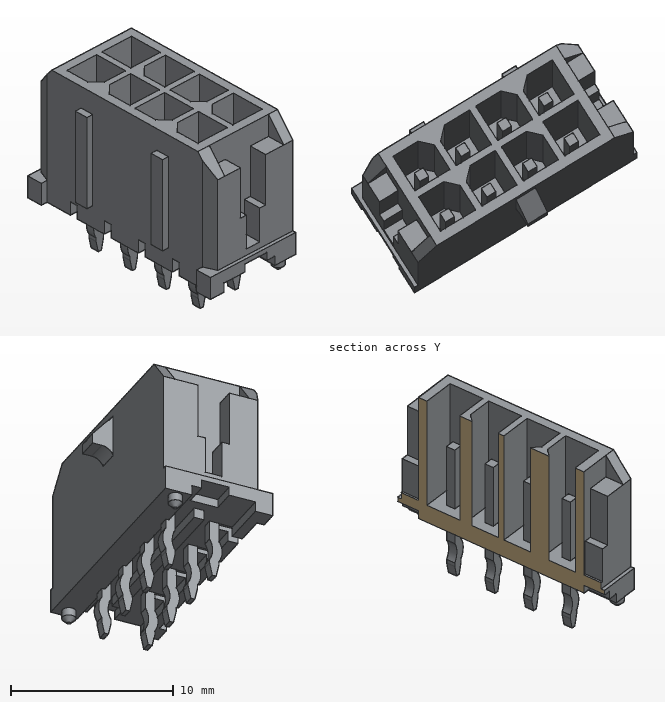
import cadquery as cq
import math


length = 16.15
body_length = 15.63
body_depth = 6.86
body_height = 9.9
top_length = 12.92
slope_base = 8.27
front_length = 13.73
bevel_depth = 0.39
flange_height = 1.62
front_overhang = 0.5

columns = 4
pitch = 3.0

cavity_side = 2.55
cavity_chamfer = 0.73
cavity_floor = 2.0

key_top_back = 2.65
key_top_front = -2.44
key_wide = 2.16
key_wide_floor = 4.57
key_narrow = 1.15
key_narrow_floor = 2.08

channel_back = 1.62
channel_front = -2.75
channel_height = 0.68
arch_width = 1.89
arch_height = 1.26
keel_width = 0.68
keel_length = 11.56
slot_width = 0.6
slot_height = 0.99

rib_width = 1.02
rib_spacing = 6.69
rib_top = 8.32

latch_width = 1.42
latch_reach = 1.4
latch_top = 9.33
latch_nose_top = 7.7
latch_nose_bottom = 7.01
latch_radius = 0.84
latch_root = 6.48

pin_side = 0.65
pin_top = 6.46
pin_bottom = -3.2
bend_top = -0.63
bend_bottom = -2.1
bend_reach = 0.21
taper_start = -2.35
tip_width = 0.27

peg_x = 7.5
peg_y = 2.47
peg_diameter = 0.89
peg_tip_diameter = 0.25
peg_shoulder = -0.53
peg_bottom = -0.85

back = body_depth / 2
front = -back
foot_front = front - front_overhang
column_xs = [(i - (columns - 1) / 2) * pitch for i in range(columns)]
back_row_y = pitch / 2
front_row_y = -pitch / 2
row_ys = [back_row_y, front_row_y]


def block(x_min, x_max, y_min, y_max, z_min, z_max):
    size = (x_max - x_min, y_max - y_min, z_max - z_min)
    return cq.Workplane("XY").box(*size, centered=False).translate((x_min, y_min, z_min))


def make_shell():
    """Bevelled plan outline, trimmed by the end slopes."""
    plan = [
        (body_length / 2, back),
        (body_length / 2, front + bevel_depth),
        (front_length / 2, front),
        (-front_length / 2, front),
        (-body_length / 2, front + bevel_depth),
        (-body_length / 2, back),
    ]
    elevation = [
        (-body_length / 2, 0),
        (body_length / 2, 0),
        (body_length / 2, slope_base),
        (top_length / 2, body_height),
        (-top_length / 2, body_height),
        (-body_length / 2, slope_base),
    ]
    prism = cq.Workplane("XY").polyline(plan).close().extrude(body_height)
    trim = cq.Workplane("XZ").polyline(elevation).close().extrude(body_depth / 2, both=True)
    return prism.intersect(trim)


def end_block(side, inner_x, y_min, y_max, z_min, z_max):
    """Block from inner_x to the outer end of the flange; side is -1 or 1."""
    x_min, x_max = sorted((side * inner_x, side * length / 2))
    return block(x_min, x_max, y_min, y_max, z_min, z_max)


def make_end_flange(side):
    return end_block(side, front_length / 2, foot_front, back, 0, flange_height)


def make_key_slot(side):
    """Stepped slot, wide at the top and narrowing towards its floor."""
    inner = top_length / 2
    mouth = end_block(side, inner, key_top_front, key_top_back, slope_base, body_height)
    wide = end_block(side, inner, -key_wide / 2, key_wide / 2, key_wide_floor, slope_base)
    narrow = end_block(side, inner, -key_narrow / 2, key_narrow / 2, key_narrow_floor, key_wide_floor)
    return mouth.union(wide).union(narrow)


def make_cavity(x, y, chamfer_side):
    """Square cavity; chamfer_side is -1 or 1 for a cut front corner, 0 for none."""
    half = cavity_side / 2
    height = body_height - cavity_floor
    cavity = block(x - half, x + half, y - half, y + half, cavity_floor, body_height)
    if chamfer_side == 0:
        return cavity
    corner_x = x + chamfer_side * half
    corner_y = y - half
    corner = (
        cq.Workplane("XY")
        .workplane(offset=cavity_floor)
        .moveTo(corner_x, corner_y)
        .lineTo(corner_x - chamfer_side * cavity_chamfer, corner_y)
        .lineTo(corner_x, corner_y + cavity_chamfer)
        .close()
        .extrude(height)
    )
    return cavity.cut(corner)


def make_latch():
    """Ramp on the back wall with a hollow curve under its nose."""
    nose = back + latch_reach
    drop = latch_nose_bottom - latch_root
    curve_start = back + math.sqrt(latch_radius**2 - (latch_radius - drop) ** 2)
    profile = (
        cq.Workplane("YZ")
        .moveTo(back, latch_root)
        .lineTo(back, latch_top)
        .lineTo(nose, latch_nose_top)
        .lineTo(nose, latch_nose_bottom)
        .lineTo(curve_start, latch_nose_bottom)
        .tangentArcPoint((back, latch_root), relative=False)
        .close()
    )
    return profile.extrude(latch_width / 2, both=True)


def make_contact(x, y):
    """Square contact with a bowed leg that bulges away from the mid-plane."""
    outward = 1 if y > 0 else -1
    outer = y + outward * pin_side / 2
    inner = y - outward * pin_side / 2
    bow = outward * bend_reach
    bend_middle = (bend_top + bend_bottom) / 2
    tip = outward * tip_width / 2
    profile = (
        cq.Workplane("YZ")
        .moveTo(inner, pin_top)
        .lineTo(outer, pin_top)
        .lineTo(outer, bend_top)
        .threePointArc((outer + bow, bend_middle), (outer, bend_bottom))
        .lineTo(outer, taper_start)
        .lineTo(y + tip, pin_bottom)
        .lineTo(y - tip, pin_bottom)
        .lineTo(inner, taper_start)
        .lineTo(inner, bend_bottom)
        .threePointArc((inner + bow, bend_middle), (inner, bend_top))
        .close()
    )
    return profile.extrude(pin_side / 2, both=True).translate((x, 0, 0))


def make_peg(x):
    """Round peg with a conical tip, turned about its own axis."""
    profile = (
        cq.Workplane("XZ")
        .moveTo(0, 0)
        .lineTo(peg_diameter / 2, 0)
        .lineTo(peg_diameter / 2, peg_shoulder)
        .lineTo(peg_tip_diameter / 2, peg_bottom)
        .lineTo(0, peg_bottom)
        .close()
    )
    return profile.revolve(360, (0, 0, 0), (0, 1, 0)).translate((x, peg_y, 0))


housing = make_shell()
for end in (-1, 1):
    housing = housing.union(make_end_flange(end))
    housing = housing.cut(make_key_slot(end))

for row_y in row_ys:
    for column, column_x in enumerate(column_xs):
        keyed_corner = 1 if column % 2 == 0 else -1
        if column == 0 and row_y == back_row_y:
            keyed_corner = 0
        housing = housing.cut(make_cavity(column_x, row_y, keyed_corner))

housing = housing.cut(
    block(-length / 2, length / 2, channel_front, channel_back, 0, channel_height)
)
for end in (-1, 1):
    housing = housing.cut(
        end_block(end, top_length / 2, -arch_width / 2, arch_width / 2, 0, arch_height)
    )
housing = housing.union(
    block(-keel_length / 2, keel_length / 2, -keel_width / 2, keel_width / 2, 0, channel_height)
)

for column_x in column_xs:
    housing = housing.cut(
        block(
            column_x - slot_width / 2,
            column_x + slot_width / 2,
            front,
            front_row_y,
            0,
            slot_height,
        )
    )

for rib_x in (-rib_spacing / 2, rib_spacing / 2):
    housing = housing.union(
        block(
            rib_x - rib_width / 2,
            rib_x + rib_width / 2,
            foot_front,
            front,
            flange_height,
            rib_top,
        )
    )

result = housing.union(make_latch())
for row_y in row_ys:
    for column_x in column_xs:
        result = result.union(make_contact(column_x, row_y))
for peg in (-peg_x, peg_x):
    result = result.union(make_peg(peg))